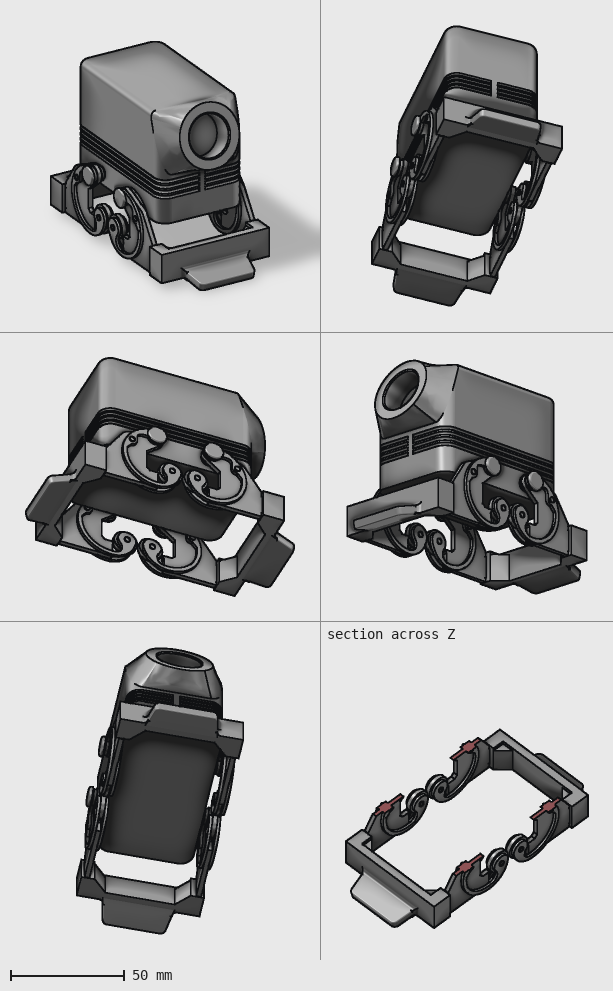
import cadquery as cq
import math

HOOD_LENGTH = 72.8
HOOD_WIDTH = 43.0
HOOD_HEIGHT = 51.8
HOOD_CORNER_R = 6.0
HOOD_TOP_R = 3.0

GROOVE_R = 0.75
GROOVE_COUNT = 4
GROOVE_PITCH = 2.5
GROOVE_LOWEST_Z = 12.8
GROOVE_GAP = 3.0

NOZZLE_TILT = 17.2
NOZZLE_TOP_X = 27.6
NOZZLE_BOTTOM_X = HOOD_LENGTH / 2
NOZZLE_LENGTH = 10.9
NOZZLE_DIAMETER = 30.0
BORE_RIM_DIAMETER = 21.0
BORE_DEPTH = NOZZLE_LENGTH
BORE_CHAMFER = 0.6

CAM_X = -13.5
CAM_Z = -6.45
CAM_Y = -25.0
LEVER_THICKNESS = 5.0
PLATE_THICKNESS = 2.2
CHEEK_OUTER_R = 16.0
CHEEK_INNER_R = 14.0
PIVOT_HEIGHT = 12.35
CHEEK_PIVOT_R = CHEEK_OUTER_R - PIVOT_HEIGHT
PLATE_PIVOT_R = 4.15
ROLLER_X = 7.5
ROLLER_Z = -5.15
ROLLER_R = 5.5
ROLLER_CHEEK_R = 4.25
HOOK_GAP_R = 3.6
RIVET_X = -11.65
RIVET_Z = 6.75
RIVET_R = 1.3
RIVET_PROUD = 0.4
RIVET_BOSS_R = 2.5
RING_END_ANGLE = 173.0
HOLLOW_TOP_DROP = 1.0

PLATE_TOP_SLOPE = 21.0
PLATE_CORNER = (-15.1, 10.95)
PLATE_CORNER_R = 5.0
PLATE_THROAT_X = -4.0
PLATE_THROAT_TOP_Z = 3.75
PLATE_THROAT_BOTTOM_Z = -7.1
PLATE_THROAT_CHAMFER = 1.5
PLATE_TOE_X = 1.65
PLATE_TOE_STEP = 0.45
PLATE_TOE_STEP_TOP_Z = -8.0
PLATE_TOE_STEP_BOTTOM_Z = -8.8
PLATE_NOTCH_WIDTH = 0.3
PLATE_NOTCH_HEIGHT = 2.0

PIN_R = 2.75
PIN_HEAD_R = 4.5
PIN_HEAD_HEIGHT = 1.5
PIN_HEAD_EDGE_R = 1.0
PIN_END_Y = -29.5

YOKE_OUTER_X = -47.5
YOKE_LEG_LENGTH = 10.0
YOKE_WALL = 4.0
YOKE_WIDTH = 55.0
YOKE_LEG_WIDTH = 6.0
YOKE_BOTTOM_Z = -22.0
YOKE_HEIGHT = 13.8
GUSSET_DROP = 1.5

TAB_TILT = 15.0
TAB_THICKNESS = 4.0
TAB_TIP_X = -58.945
TAB_TIP_BOTTOM_Z = -24.95
TAB_ROOT_HALF = 16.3
TAB_TIP_HALF = 13.8
TAB_CORNER_R = 2.5
TAB_EDGE_R = 0.7
TAB_ROOT_R = 1.9

YOKE_INNER_X = YOKE_OUTER_X + YOKE_LEG_LENGTH
YOKE_TOP_Z = YOKE_BOTTOM_Z + YOKE_HEIGHT


def polar(centre, radius, angle):
    """Point at an angle in radians on a circle."""
    return (centre[0] + radius * math.cos(angle), centre[1] + radius * math.sin(angle))


def heading(start, end):
    """Direction in radians from one point to another."""
    return math.atan2(end[1] - start[1], end[0] - start[0])


def lever_plane(thickness):
    """Lever plane whose extrusion by the thickness is centred on the lever."""
    return cq.Workplane("XZ", origin=(CAM_X, CAM_Y + thickness / 2, CAM_Z))


def groove_cutter(z):
    """Round bar swept round the hood, left out at the middle of both ends."""
    path = (
        cq.Workplane("XY", origin=(0, 0, z))
        .rect(HOOD_LENGTH, HOOD_WIDTH)
        .extrude(GROOVE_R)
        .edges("|Z").fillet(HOOD_CORNER_R)
        .faces("<Z").wires()
    )
    profile = cq.Workplane("YZ", origin=(0, -HOOD_WIDTH / 2, z)).circle(GROOVE_R)
    ring = profile.sweep(path)
    gap = cq.Workplane("XY", origin=(0, 0, z)).box(2 * HOOD_LENGTH, GROOVE_GAP, 4 * GROOVE_R)
    return ring.cut(gap)


def make_hood():
    """Grooved cover with a slanted end that blends into the cable nozzle."""
    hood = (
        cq.Workplane("XY")
        .rect(HOOD_LENGTH, HOOD_WIDTH)
        .extrude(HOOD_HEIGHT)
        .edges("|Z").fillet(HOOD_CORNER_R)
        .faces(">Z").edges().fillet(HOOD_TOP_R)
    )
    for index in range(GROOVE_COUNT):
        hood = hood.cut(groove_cutter(GROOVE_LOWEST_Z + index * GROOVE_PITCH))

    tilt = math.radians(NOZZLE_TILT)
    axis = cq.Vector(math.cos(tilt), 0, math.sin(tilt))
    base_drop = (NOZZLE_BOTTOM_X - NOZZLE_TOP_X) / math.tan(tilt)
    base_centre = cq.Vector(
        (NOZZLE_TOP_X + NOZZLE_BOTTOM_X) / 2, 0, HOOD_HEIGHT - base_drop / 2
    )
    base_plane = cq.Plane(origin=base_centre.toTuple(), xDir=(0, 1, 0), normal=axis.toTuple())
    hood = hood.cut(cq.Workplane(base_plane).rect(2 * HOOD_WIDTH, HOOD_HEIGHT).extrude(HOOD_LENGTH))
    base_outline = hood.faces(cq.selectors.NearestToPointSelector(base_centre.toTuple())).val().outerWire()
    mouth_centre = base_centre + axis * NOZZLE_LENGTH
    mouth = cq.Wire.makeCircle(NOZZLE_DIAMETER / 2, mouth_centre, axis)
    top_half = HOOD_WIDTH / 2 - HOOD_TOP_R
    start_angle = 360 * top_half / base_outline.Length()
    mouth = mouth.rotate(mouth_centre, mouth_centre + axis, start_angle)
    hood = hood.union(cq.Workplane(cq.Solid.makeLoft([base_outline, mouth], True)))

    inward = axis * -1
    rim_r = BORE_RIM_DIAMETER / 2
    bore_r = rim_r - BORE_CHAMFER
    lead_in = cq.Solid.makeCone(rim_r, bore_r, BORE_CHAMFER, mouth_centre, inward)
    bore = cq.Solid.makeCylinder(bore_r, BORE_DEPTH, mouth_centre, inward)
    return hood.cut(cq.Workplane(bore)).cut(cq.Workplane(lead_in))


def make_cheeks():
    """Pair of C-shaped hook cheeks, one on each side of the web plate."""
    cam = (0, 0)
    pivot = (0, PIVOT_HEIGHT)
    roller = (ROLLER_X, ROLLER_Z)
    rivet = (RIVET_X, RIVET_Z)

    reach = ROLLER_Z + CHEEK_OUTER_R
    belly_r = (ROLLER_X**2 + reach**2 - ROLLER_CHEEK_R**2) / (2 * (reach - ROLLER_CHEEK_R))
    belly = (0, belly_r - CHEEK_OUTER_R)
    belly_end = heading(belly, roller)

    gap_from_cam = CHEEK_INNER_R - HOOK_GAP_R
    gap_from_roller = ROLLER_CHEEK_R + HOOK_GAP_R
    roller_from_cam = math.hypot(ROLLER_X, ROLLER_Z)
    swing = math.acos(
        (gap_from_cam**2 + roller_from_cam**2 - gap_from_roller**2)
        / (2 * gap_from_cam * roller_from_cam)
    )
    gap_angle = heading(cam, roller) - swing
    gap = polar(cam, gap_from_cam, gap_angle)
    roller_to_gap = heading(roller, gap) + 2 * math.pi
    gap_to_roller = heading(gap, roller)

    hollow_r = RIVET_BOSS_R
    hollow = (RIVET_X + RIVET_BOSS_R + hollow_r, PIVOT_HEIGHT - HOLLOW_TOP_DROP - hollow_r)
    boss_low = polar(rivet, RIVET_BOSS_R, -math.pi / 2)
    ring_end_angle = math.radians(RING_END_ANGLE)

    outline = (
        lever_plane(LEVER_THICKNESS)
        .moveTo(0, CHEEK_OUTER_R)
        .threePointArc((-CHEEK_OUTER_R, 0), (0, -CHEEK_OUTER_R))
        .threePointArc(
            polar(belly, belly_r, (belly_end - math.pi / 2) / 2), polar(belly, belly_r, belly_end)
        )
        .threePointArc(
            polar(roller, ROLLER_CHEEK_R, (belly_end + roller_to_gap) / 2),
            polar(roller, ROLLER_CHEEK_R, roller_to_gap),
        )
        .threePointArc(
            polar(gap, HOOK_GAP_R, (gap_to_roller + gap_angle) / 2), polar(gap, HOOK_GAP_R, gap_angle)
        )
        .threePointArc(
            polar(cam, CHEEK_INNER_R, -3 * math.pi / 4), polar(cam, CHEEK_INNER_R, ring_end_angle)
        )
        .lineTo(*boss_low)
        .threePointArc(polar(rivet, RIVET_BOSS_R, -math.pi / 4), polar(rivet, RIVET_BOSS_R, 0))
        .lineTo(hollow[0] - hollow_r, hollow[1])
        .threePointArc(polar(hollow, hollow_r, 3 * math.pi / 4), polar(hollow, hollow_r, math.pi / 2))
        .lineTo(0, hollow[1] + hollow_r)
        .lineTo(*pivot)
        .close()
        .extrude(LEVER_THICKNESS)
    )
    boss = lever_plane(LEVER_THICKNESS).center(*pivot).circle(CHEEK_PIVOT_R).extrude(LEVER_THICKNESS)
    slot = lever_plane(PLATE_THICKNESS).rect(4 * CHEEK_OUTER_R, 4 * CHEEK_OUTER_R).extrude(PLATE_THICKNESS)
    return outline.union(boss).cut(slot)


def make_web_plate():
    """Thin plate that carries the cheeks and runs to the yoke leg."""
    pivot = (0, PIVOT_HEIGHT)
    root_x = YOKE_INNER_X - CAM_X
    root_top = YOKE_TOP_Z - CAM_Z
    root_bottom = YOKE_BOTTOM_Z - CAM_Z
    upper_tangent = polar(pivot, PLATE_PIVOT_R, math.radians(90 + PLATE_TOP_SLOPE))
    throat_top = (PLATE_THROAT_X, PLATE_THROAT_TOP_Z)
    throat_reach = math.hypot(throat_top[0], throat_top[1] - PIVOT_HEIGHT)
    tangent_angle = heading(pivot, throat_top) + math.acos(PLATE_PIVOT_R / throat_reach)
    lower_tangent = polar(pivot, PLATE_PIVOT_R, tangent_angle)

    plate = (
        lever_plane(PLATE_THICKNESS)
        .moveTo(root_x, root_bottom)
        .lineTo(root_x, root_top)
        .lineTo(*PLATE_CORNER)
        .lineTo(*upper_tangent)
        .lineTo(*pivot)
        .lineTo(*lower_tangent)
        .lineTo(*throat_top)
        .lineTo(PLATE_THROAT_X, PLATE_THROAT_BOTTOM_Z + PLATE_THROAT_CHAMFER)
        .lineTo(PLATE_THROAT_X + PLATE_THROAT_CHAMFER, PLATE_THROAT_BOTTOM_Z)
        .lineTo(PLATE_TOE_X, PLATE_THROAT_BOTTOM_Z)
        .lineTo(PLATE_TOE_X, PLATE_TOE_STEP_TOP_Z)
        .lineTo(PLATE_TOE_X - PLATE_TOE_STEP, PLATE_TOE_STEP_BOTTOM_Z)
        .lineTo(PLATE_TOE_X - PLATE_TOE_STEP, root_bottom)
        .close()
        .extrude(PLATE_THICKNESS)
    )
    corner = (CAM_X + PLATE_CORNER[0], CAM_Y, CAM_Z + PLATE_CORNER[1])
    plate = plate.edges("|Y").edges(cq.selectors.NearestToPointSelector(corner)).fillet(PLATE_CORNER_R)
    for z in (root_top - PLATE_NOTCH_HEIGHT / 2, root_bottom + PLATE_NOTCH_HEIGHT / 2):
        notch = (
            lever_plane(PLATE_THICKNESS)
            .center(root_x + PLATE_NOTCH_WIDTH / 2, z)
            .rect(PLATE_NOTCH_WIDTH, PLATE_NOTCH_HEIGHT)
            .extrude(PLATE_THICKNESS)
        )
        plate = plate.cut(notch)
    boss = lever_plane(PLATE_THICKNESS).center(*pivot).circle(PLATE_PIVOT_R).extrude(PLATE_THICKNESS)
    return plate.union(boss)


def make_pins():
    """Roller, rivets and the headed pivot pin that joins lever and hood."""
    roller = lever_plane(PLATE_THICKNESS).center(ROLLER_X, ROLLER_Z).circle(ROLLER_R)
    pins = roller.extrude(PLATE_THICKNESS)
    rivet_length = LEVER_THICKNESS + 2 * RIVET_PROUD
    for place in ((RIVET_X, RIVET_Z), (ROLLER_X, ROLLER_Z)):
        rivet = lever_plane(rivet_length).center(*place).circle(RIVET_R).extrude(rivet_length)
        pins = pins.union(rivet)

    pivot_plane = cq.Workplane("XZ", origin=(CAM_X, PIN_END_Y, CAM_Z + PIVOT_HEIGHT))
    pin_inner_y = -HOOD_WIDTH / 2 + PIN_R
    shank = pivot_plane.circle(PIN_R).extrude(PIN_END_Y - pin_inner_y)
    head = pivot_plane.circle(PIN_HEAD_R).extrude(-PIN_HEAD_HEIGHT)
    head = head.faces("<Y").edges().fillet(PIN_HEAD_EDGE_R)
    return pins.union(shank).union(head)


def add_tab(yoke):
    """Tilted finger tab with rounded edges and a concave fillet at its root."""
    tilt = math.radians(TAB_TILT)
    rounding_loss = TAB_EDGE_R * (math.cos(tilt) + math.sin(tilt) - 1)
    tip = (
        TAB_TIP_X - rounding_loss + TAB_THICKNESS * math.sin(tilt),
        0,
        TAB_TIP_BOTTOM_Z - rounding_loss,
    )
    normal = cq.Vector(-math.sin(tilt), 0, math.cos(tilt))
    plane = cq.Plane(origin=tip, xDir=(math.cos(tilt), 0, math.sin(tilt)), normal=normal.toTuple())
    reach = (YOKE_OUTER_X + YOKE_WALL / 2 - tip[0]) / math.cos(tilt)
    slab = (
        cq.Workplane(plane)
        .polyline([(0, -TAB_TIP_HALF), (reach, -TAB_ROOT_HALF), (reach, TAB_ROOT_HALF), (0, TAB_TIP_HALF)])
        .close()
        .extrude(TAB_THICKNESS)
    )
    along_thickness = cq.selectors.ParallelDirSelector(normal)
    slab = slab.edges(along_thickness).edges("<X").fillet(TAB_CORNER_R)

    outside_wall = cq.selectors.BoxSelector(
        (2 * YOKE_OUTER_X, -YOKE_WIDTH, 2 * YOKE_BOTTOM_Z),
        (YOKE_OUTER_X + YOKE_WALL / 4, YOKE_WIDTH, 0),
    )
    upper_face = cq.selectors.DirectionMinMaxSelector(normal, True)
    lower_face = cq.selectors.DirectionMinMaxSelector(normal, False)
    top_rounded = slab.faces(upper_face).edges(outside_wall).fillet(TAB_EDGE_R)
    tab = top_rounded.faces(lower_face).edges(outside_wall).fillet(TAB_EDGE_R)

    near = TAB_EDGE_R / 10
    root_edges = cq.selectors.BoxSelector(
        (YOKE_OUTER_X - near, -TAB_ROOT_HALF, 2 * YOKE_BOTTOM_Z),
        (YOKE_OUTER_X + near, TAB_ROOT_HALF, YOKE_TOP_Z - TAB_ROOT_R),
    )
    flared = yoke.union(slab).edges(root_edges).fillet(TAB_ROOT_R)
    beyond_collar = (
        cq.Workplane("YZ", origin=(YOKE_OUTER_X - TAB_ROOT_R, 0, YOKE_BOTTOM_Z))
        .rect(YOKE_WIDTH, 2 * YOKE_HEIGHT)
        .extrude(YOKE_OUTER_X)
    )
    return flared.cut(beyond_collar).union(tab)


def make_yoke():
    """U-shaped end bracket with corner gussets and the finger tab."""
    yoke_z = YOKE_BOTTOM_Z + YOKE_HEIGHT / 2
    middle_x = YOKE_OUTER_X + YOKE_LEG_LENGTH / 2
    yoke = cq.Workplane("XY", origin=(middle_x, 0, yoke_z)).box(YOKE_LEG_LENGTH, YOKE_WIDTH, YOKE_HEIGHT)
    wall_x = YOKE_OUTER_X + YOKE_WALL
    leg_y = YOKE_WIDTH / 2 - YOKE_LEG_WIDTH
    leg_reach = YOKE_INNER_X - wall_x
    opening = (
        cq.Workplane("XY", origin=(wall_x + leg_reach / 2, 0, yoke_z))
        .box(leg_reach, 2 * leg_y, YOKE_HEIGHT)
    )
    yoke = yoke.cut(opening)
    for side in (-1, 1):
        gusset = (
            cq.Workplane("XY", origin=(wall_x, side * leg_y, YOKE_BOTTOM_Z))
            .polyline([(0, 0), (leg_reach, 0), (0, -side * leg_reach)])
            .close()
            .extrude(YOKE_HEIGHT - GUSSET_DROP)
        )
        yoke = yoke.union(gusset)
    return add_tab(yoke)


lever = make_cheeks().union(make_web_plate()).union(make_pins())
end_set = make_yoke().union(lever).union(lever.mirror("XZ"))
result = make_hood().union(end_set).union(end_set.mirror("YZ"))